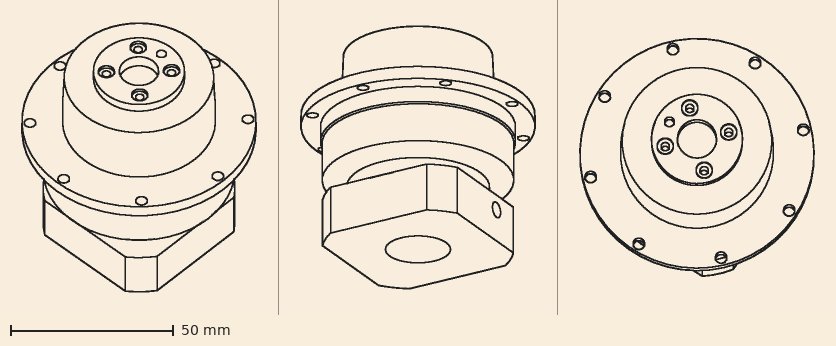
import cadquery as cq
import math


total_height = 68.0
adapter_height = 16.0
neck_top = 21.0
shoulder_top = 23.3
spigot_bottom = 36.3
flange_bottom = 41.4
flange_thickness = 4.0
flange_top = flange_bottom + flange_thickness
hub_taper_start = 52.4
output_boss_height = 3.0
hub_top = total_height - output_boss_height

flange_diameter = 72.0
spigot_diameter = 60.0
casing_diameter = 59.0
neck_diameter = 44.0
hub_diameter = 47.0
hub_top_diameter = 46.0
output_boss_diameter = 28.0
input_shaft_diameter = 20.0

joint_chamfer = 0.5
spigot_chamfer = (spigot_diameter - casing_diameter) / 2

flange_hole_count = 8
flange_hole_diameter = 3.5
flange_hole_circle = 67.0

output_hole_circle = 20.0
centre_pocket_diameter = 12.0
centre_pocket_depth = 4.0
screw_hole_count = 4
screw_hole_first_angle = 45.0
screw_hole_diameter = 2.6
screw_hole_depth = 7.0
screw_drill_point_angle = 118.0
screw_counterbore_diameter = 5.0
screw_counterbore_depth = 1.0
dowel_hole_diameter = 3.0
dowel_hole_depth = 4.0

adapter_width = 48.0
adapter_corner_diameter = casing_diameter
collar_height = joint_chamfer
block_height = adapter_height - collar_height
access_hole_diameter = 5.0
access_hole_y = -6.8
access_hole_z = 10.5


def cylinder(diameter, bottom, top):
    """Cylinder on the Z axis between two heights."""
    return cq.Workplane("XY").workplane(offset=bottom).circle(diameter / 2).extrude(top - bottom)


def places_on_circle(circle_diameter, count, first_angle):
    """Evenly spaced points on a circle around the Z axis."""
    points = []
    for index in range(count):
        angle = math.radians(first_angle + index * 360 / count)
        points.append((circle_diameter / 2 * math.cos(angle), circle_diameter / 2 * math.sin(angle)))
    return points


def gearbox_blank():
    """Turned gearbox body, from the input shaft up to the output boss."""
    casing_radius = casing_diameter / 2
    neck_radius = neck_diameter / 2
    profile = [
        (0, 0),
        (input_shaft_diameter / 2, 0),
        (input_shaft_diameter / 2, adapter_height),
        (neck_radius - joint_chamfer, adapter_height),
        (neck_radius, adapter_height + joint_chamfer),
        (neck_radius, neck_top),
        (casing_radius, shoulder_top),
        (casing_radius, spigot_bottom - spigot_chamfer),
        (spigot_diameter / 2, spigot_bottom),
        (spigot_diameter / 2, flange_bottom),
        (flange_diameter / 2, flange_bottom),
        (flange_diameter / 2, flange_top),
        (hub_diameter / 2, flange_top),
        (hub_diameter / 2, hub_taper_start),
        (hub_top_diameter / 2, hub_top),
        (output_boss_diameter / 2, hub_top),
        (output_boss_diameter / 2, total_height),
        (0, total_height),
    ]
    return cq.Workplane("XZ").polyline(profile).close().revolve(360, (0, 0, 0), (0, 1, 0))


def flange_holes():
    """Through holes around the flange."""
    places = places_on_circle(flange_hole_circle, flange_hole_count, 0)
    flange_underside = cq.Workplane("XY").workplane(offset=flange_bottom)
    return flange_underside.pushPoints(places).circle(flange_hole_diameter / 2).extrude(flange_thickness)


def screw_hole():
    """Counterbored blind hole with a drill point, on the Z axis below the output face."""
    hole_radius = screw_hole_diameter / 2
    counterbore_radius = screw_counterbore_diameter / 2
    counterbore_floor = total_height - screw_counterbore_depth
    hole_end = total_height - screw_hole_depth
    point_height = hole_radius / math.tan(math.radians(screw_drill_point_angle / 2))
    profile = [
        (0, hole_end - point_height),
        (hole_radius, hole_end),
        (hole_radius, counterbore_floor),
        (counterbore_radius, counterbore_floor),
        (counterbore_radius, total_height),
        (0, total_height),
    ]
    return cq.Workplane("XZ").polyline(profile).close().revolve(360, (0, 0, 0), (0, 1, 0))


def make_gearbox():
    """Gearbox with its flange holes and the holes of its output face."""
    gearbox = gearbox_blank().cut(flange_holes())

    centre_pocket = cylinder(centre_pocket_diameter, total_height - centre_pocket_depth, total_height)
    gearbox = gearbox.cut(centre_pocket)

    for x, y in places_on_circle(output_hole_circle, screw_hole_count, screw_hole_first_angle):
        gearbox = gearbox.cut(screw_hole().translate((x, y, 0)))

    dowel_hole = cylinder(dowel_hole_diameter, total_height - dowel_hole_depth, total_height)
    return gearbox.cut(dowel_hole.translate((0, output_hole_circle / 2, 0)))


def make_adapter():
    """Square block with rounded corners, a collar, a shaft bore and an access hole."""
    block = cq.Workplane("XY").rect(adapter_width, adapter_width).extrude(block_height)
    block = block.intersect(cylinder(adapter_corner_diameter, 0, block_height))

    collar_radius = neck_diameter / 2
    collar = (
        cq.Workplane("XY").workplane(offset=block_height).circle(collar_radius)
        .workplane(offset=collar_height).circle(collar_radius - joint_chamfer).loft()
    )

    shaft_bore = cylinder(input_shaft_diameter, 0, adapter_height)
    access_hole = (
        cq.Workplane("YZ").workplane(offset=-adapter_width / 2)
        .center(access_hole_y, access_hole_z).circle(access_hole_diameter / 2).extrude(adapter_width / 2)
    )
    return block.union(collar).cut(shaft_bore).cut(access_hole)


gearbox = make_gearbox()
adapter = make_adapter()

result = cq.Compound.makeCompound([gearbox.val(), adapter.val()])